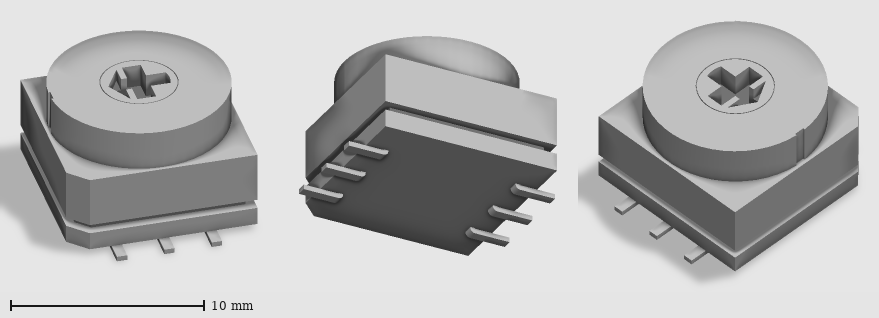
import cadquery as cq
import math

overall_length = 12.0
lead_width = 0.55
lead_pitch = 2.55
leads_per_side = 3
lead_thickness = 0.28
lead_foot_length = 2.29
lead_embed = 0.24
standoff = 0.04

body_side = 10.0
corner_chamfer = 1.0
base_height = 1.0
neck_height = 0.5
neck_inset = 0.5
cover_height = 2.8

overall_height = 6.8
dial_diameter = 9.6
mark_width = 0.6
mark_depth = 0.12

ring_outer_diameter = 4.1
ring_inner_diameter = 4.0
ring_depth = 0.1

cross_span = 3.04
cross_slot_width = 1.01
cross_depth = 1.3
pointer_radius = 1.65
arrow_width = 2.83
arrow_base_y = -0.83
arrow_depth = 0.7

base_bottom = lead_thickness + standoff
neck_bottom = base_bottom + base_height
cover_bottom = neck_bottom + neck_height
dial_bottom = cover_bottom + cover_height
dial_height = overall_height - dial_bottom


def housing_layer(bottom, height, inset=0.0):
    """Square plate with the +X -Y corner cut, its outline moved inward by inset."""
    side = body_side - 2 * inset
    chamfer = corner_chamfer - inset * (2 - math.sqrt(2))
    plate = cq.Workplane("XY").workplane(offset=bottom).rect(side, side).extrude(height)
    return plate.edges("|Z").edges(">X and <Y").chamfer(chamfer)


def gull_lead(y):
    """Lead on the -X side: a flat foot turned up into the base, rounded outside the bend."""
    outer_end = -overall_length / 2
    inner_end = outer_end + lead_foot_length
    upright_face = inner_end - lead_thickness
    top = base_bottom + lead_embed
    bend_run = lead_thickness * math.sqrt(0.5)
    return (
        cq.Workplane("XZ", origin=(0, y + lead_width / 2, 0))
        .moveTo(outer_end, 0)
        .lineTo(upright_face, 0)
        .threePointArc(
            (upright_face + bend_run, lead_thickness - bend_run),
            (inner_end, lead_thickness),
        )
        .lineTo(inner_end, top)
        .lineTo(upright_face, top)
        .lineTo(upright_face, lead_thickness)
        .lineTo(outer_end, lead_thickness)
        .close()
        .extrude(lead_width)
    )


def dial():
    """Dial cylinder with an index notch down its -Y side."""
    disc = cq.Workplane("XY").workplane(offset=dial_bottom).circle(dial_diameter / 2).extrude(dial_height)
    notch = (
        cq.Workplane("XY")
        .workplane(offset=dial_bottom)
        .center(0, -dial_diameter / 2)
        .rect(mark_width, 2 * mark_depth)
        .extrude(dial_height)
    )
    return disc.cut(notch)


def top_plane():
    return cq.Workplane("XY").workplane(offset=overall_height)


def ring_groove():
    return (
        top_plane()
        .circle(ring_outer_diameter / 2)
        .circle(ring_inner_diameter / 2)
        .extrude(-ring_depth)
    )


def cross_recess():
    """Cross whose long slot ends in an arc at +Y and in the arrow's point at -Y."""
    half_slot = cross_slot_width / 2
    arc_end_y = math.sqrt(pointer_radius**2 - half_slot**2)
    arrow_slope = (pointer_radius + arrow_base_y) / (arrow_width / 2)
    point_side_y = -pointer_radius + half_slot * arrow_slope
    long_slot = (
        top_plane()
        .moveTo(-half_slot, point_side_y)
        .lineTo(0, -pointer_radius)
        .lineTo(half_slot, point_side_y)
        .lineTo(half_slot, arc_end_y)
        .threePointArc((0, pointer_radius), (-half_slot, arc_end_y))
        .close()
        .extrude(-cross_depth)
    )
    short_slot = top_plane().rect(cross_span, cross_slot_width).extrude(-cross_depth)
    return long_slot.union(short_slot)


def arrow_recess():
    return (
        top_plane()
        .moveTo(-arrow_width / 2, arrow_base_y)
        .lineTo(0, -pointer_radius)
        .lineTo(arrow_width / 2, arrow_base_y)
        .close()
        .extrude(-arrow_depth)
    )


result = (
    housing_layer(base_bottom, base_height)
    .union(housing_layer(neck_bottom, neck_height, neck_inset))
    .union(housing_layer(cover_bottom, cover_height))
    .union(dial())
    .cut(ring_groove())
    .cut(cross_recess())
    .cut(arrow_recess())
)

for index in range(leads_per_side):
    lead = gull_lead((index - (leads_per_side - 1) / 2) * lead_pitch)
    result = result.union(lead).union(lead.mirror("YZ"))